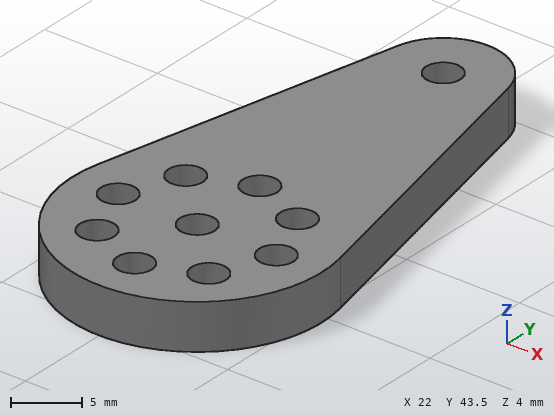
import cadquery as cq
import math

thickness = 4.0
hub_radius = 11.0
tip_radius = 5.0
center_distance = 27.5
hole_diameter = 3.0
ring_radius = 7.0
ring_hole_count = 8

side_angle = math.asin((hub_radius - tip_radius) / center_distance)
hub_x = hub_radius * math.cos(side_angle)
hub_y = hub_radius * math.sin(side_angle)
tip_x = tip_radius * math.cos(side_angle)
tip_y = center_distance + tip_radius * math.sin(side_angle)


def lever_plate():
    """Tapered plate with a large round hub end and a small round tip."""
    return (
        cq.Workplane("XY")
        .moveTo(hub_x, hub_y)
        .lineTo(tip_x, tip_y)
        .threePointArc((0, center_distance + tip_radius), (-tip_x, tip_y))
        .lineTo(-hub_x, hub_y)
        .threePointArc((0, -hub_radius), (hub_x, hub_y))
        .close()
        .extrude(thickness)
    )


def hole_centers():
    """Hub centre, tip centre and the ring of holes around the hub."""
    centers = [(0, 0), (0, center_distance)]
    for index in range(ring_hole_count):
        angle = 2 * math.pi * index / ring_hole_count
        centers.append((ring_radius * math.cos(angle), ring_radius * math.sin(angle)))
    return centers


def hole_cutters():
    """Cylinders through the full thickness at every hole centre."""
    return (
        cq.Workplane("XY")
        .pushPoints(hole_centers())
        .circle(hole_diameter / 2)
        .extrude(thickness)
    )


result = lever_plate().cut(hole_cutters())